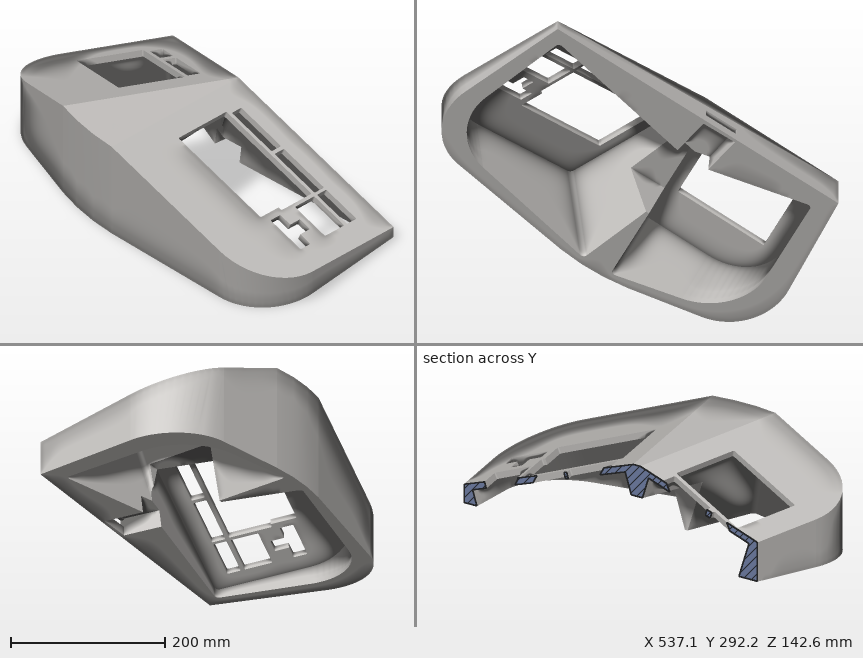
import cadquery as cq
import math

LEFT, RIGHT = -1, 1
SIDES = (LEFT, RIGHT)

apex_height = 111.65
pitch = 7.0
tent = 19.0
yaw = {LEFT: 13.0, RIGHT: 11.9}
plate_width = {LEFT: 203.4, RIGHT: 294.8}
plate_depth = 249.7
plate_thickness = 9.0
outer_corner_radius = 90.0
front_bulge = 4.2
column_length = 2 * apex_height

key = 19.05
window_corner_radius = 1.7
window_cut_depth = 1.5 * plate_thickness
function_row_back = 35.9
function_row_depth = 18.6
main_block_back = 59.7
main_block_depth = 94.6
left_block_out = 35.3
left_block_width = 131.0
left_function_outs = (39.2, 124.3)
left_function_widths = (4 * key, 1.75 * key)
right_block_out = 35.0
right_block_width = 156.0
right_block_step = 5.5
right_block_step_depth = 59.0
right_function_outs = (40.2, 121.2)
right_function_widths = (75.5, 4 * key)
side_cluster_out = 201.6
side_cluster_width = 3 * key
arrow_row_back = 126.7

outer_wall = 12.4
ridge_wall = 17.5
front_wall = 30.0
cavity_corner_radius = 6.0
cavity_outer_radius = outer_corner_radius - outer_wall

passage_width = 80.0
passage_length = 100.0
passage_height = 72.0
passage_back = -26.0

recess_left = -21.0
recess_right = 30.0
recess_height = 24.0
recess_back = 35.0
port_bottom = 12.0
port_top = 22.0
back_clearance = 10.0


def plate_plane(side):
    """Plane on the top of a plate, with its X axis to the right and its Y axis to the back."""
    plane = cq.Plane(origin=(0, 0, apex_height))
    plane = plane.rotated((0, 0, side * yaw[side]))
    plane = plane.rotated((-pitch, 0, 0))
    return plane.rotated((0, side * tent, 0))


def plate_point(side, out, front):
    return plate_plane(side).toWorldCoords((side * out, -front, 0))


def plate_normal_edges(side):
    return cq.selectors.ParallelDirSelector(plate_plane(side).zDir)


def plate_outline(side, inner, outer, back, front, radius):
    """Rectangle on a plate whose outer front corner is rounded."""
    arc_middle_inset = radius * (1 - math.sqrt(0.5))
    return (
        cq.Workplane(plate_plane(side))
        .moveTo(side * inner, -back)
        .lineTo(side * outer, -back)
        .lineTo(side * outer, -(front - radius))
        .threePointArc(
            (side * (outer - arc_middle_inset), -(front - arc_middle_inset)),
            (side * (outer - radius), -front),
        )
        .lineTo(side * inner, -front)
        .close()
    )


def column(wire):
    """Everything straight below a flat outline, down to the floor."""
    prism = cq.Solid.extrudeLinear(cq.Face.makeFromWires(wire), cq.Vector(0, 0, -column_length))
    room = 4 * plate_depth
    above_floor = cq.Workplane("XY").box(room, room, room, centered=(True, True, False))
    return cq.Workplane(obj=prism).intersect(above_floor)


def plate_column(side):
    outline = plate_outline(side, 0, plate_width[side], 0, plate_depth, outer_corner_radius)
    return column(outline.val())


def ridge_column():
    """Triangle between the two plates, with a gently bowed front."""
    apex = plate_point(RIGHT, 0, 0)
    left = plate_point(LEFT, 0, plate_depth)
    right = plate_point(RIGHT, 0, plate_depth)
    chord_middle = (left + right) * 0.5
    forward = (chord_middle - apex).normalized()
    bow = cq.Edge.makeThreePointArc(left, chord_middle + forward * front_bulge, right)
    edges = [cq.Edge.makeLine(apex, left), bow, cq.Edge.makeLine(right, apex)]
    return column(cq.Wire.assembleEdges(edges))


def back_column():
    """Triangular slope from the apex to the straight top edge of the back wall."""
    apex = plate_point(RIGHT, 0, 0)
    back_corners = [plate_point(side, plate_width[side], 0) for side in SIDES]
    return column(cq.Wire.makePolygon([apex, *back_corners], close=True))


def shell():
    body = ridge_column().union(back_column())
    for side in SIDES:
        body = body.union(plate_column(side))
    return body.clean()


def cavity(side):
    """Hollow that starts under the plate and runs square to it, out through the floor."""
    outer = plate_width[side] - outer_wall
    front = plate_depth - front_wall
    outline = plate_outline(side, ridge_wall, outer, outer_wall, front, cavity_outer_radius)
    prism = outline.extrude(-column_length)
    normal = plate_plane(side).zDir
    for corner in ((ridge_wall, outer_wall), (outer, outer_wall), (ridge_wall, front)):
        edge_middle = plate_point(side, *corner) - normal * (column_length / 2)
        nearest_edge = cq.selectors.NearestToPointSelector(edge_middle.toTuple())
        prism = prism.edges(nearest_edge).fillet(cavity_corner_radius)
    return prism.translate(normal * -plate_thickness)


def window(side, out, back, width, depth):
    """Rounded rectangular opening cut square through a plate."""
    opening = (
        cq.Workplane(plate_plane(side))
        .center(side * (out + width / 2), -(back + depth / 2))
        .rect(width, depth)
        .extrude(-window_cut_depth)
    )
    return opening.edges(plate_normal_edges(side)).fillet(window_corner_radius)


def function_windows(side, outs, widths):
    return [
        window(side, out, function_row_back, width, function_row_depth)
        for out, width in zip(outs, widths)
    ]


def left_windows():
    windows = function_windows(LEFT, left_function_outs, left_function_widths)
    windows.append(window(LEFT, left_block_out, main_block_back, left_block_width, main_block_depth))
    return windows


def right_windows():
    windows = function_windows(
        RIGHT,
        (*right_function_outs, side_cluster_out),
        (*right_function_widths, side_cluster_width),
    )
    wide_width = right_block_width + right_block_step
    windows.append(window(RIGHT, right_block_out, main_block_back, right_block_width, main_block_depth))
    windows.append(window(RIGHT, right_block_out, main_block_back, wide_width, right_block_step_depth))
    windows.append(window(RIGHT, side_cluster_out, main_block_back, side_cluster_width, 2 * key))
    windows.append(window(RIGHT, side_cluster_out, arrow_row_back, side_cluster_width, key))
    windows.append(window(RIGHT, side_cluster_out + key, arrow_row_back - key, key, 1.5 * key))
    return windows


def block(left, right, front, back, bottom, top):
    size = (right - left, back - front, top - bottom)
    return cq.Workplane("XY").box(*size, centered=False).translate((left, front, bottom))


def passage():
    half_width = passage_width / 2
    return block(-half_width, half_width, passage_back - passage_length, passage_back, 0, passage_height)


def cable_opening():
    recess = block(recess_left, recess_right, passage_back, recess_back, 0, recess_height)
    port = block(recess_left, recess_right, recess_back, recess_back + back_clearance, port_bottom, port_top)
    return recess.union(port)


result = shell()
for side in SIDES:
    result = result.cut(cavity(side))
for opening in left_windows() + right_windows():
    result = result.cut(opening)
result = result.cut(passage()).cut(cable_opening())